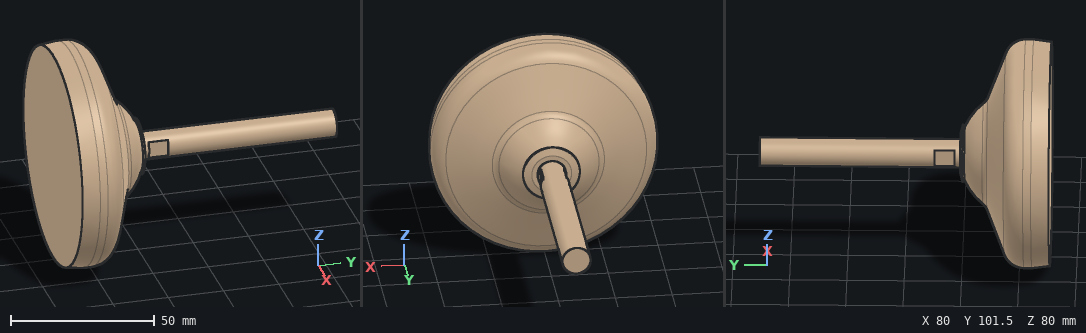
import cadquery as cq
import math


pad_radius = 40.0
pad_sole_radius = 39.2
pad_taper_height = 6.2
pad_band_height = 2.8
pad_shoulder_radius = 7.4
pad_slope = math.radians(21.5)
dome_radius = 22.5
dome_center_height = 9.6
dome_blend_radius = 5.0
foot_height = 30.0

disc_height = 1.5
disc_rim_height = 0.7
disc_rim_radius = 10.0
disc_top_radius = 7.0
stem_radius = 5.0
stem_length = 70.0
flat_across = 8.0
flat_offset = 2.0
flat_length = 7.0

disc_top = foot_height + disc_height
stem_top = disc_top + stem_length

dome_top_radius = math.sqrt(dome_radius**2 - (foot_height - dome_center_height) ** 2)


def point_on_arc(center, radius, angle):
    """Point at the given angle, measured from the radial direction towards +Y."""
    return (center[0] + radius * math.cos(angle), center[1] + radius * math.sin(angle))


def revolve_about_y(outline):
    return outline.close().revolve(360, (0, 0, 0), (0, 1, 0))


def make_foot():
    band_top = pad_taper_height + pad_band_height
    slope_normal = math.pi / 2 - pad_slope

    shoulder_center = (pad_radius - pad_shoulder_radius, band_top)
    shoulder_middle = point_on_arc(shoulder_center, pad_shoulder_radius, slope_normal / 2)
    shoulder_end = point_on_arc(shoulder_center, pad_shoulder_radius, slope_normal)

    dome_depth = (
        shoulder_end[0] * math.sin(pad_slope)
        + (shoulder_end[1] - dome_center_height) * math.cos(pad_slope)
    )
    center_distance = dome_radius + dome_blend_radius
    rise = dome_depth + dome_blend_radius
    run = math.sqrt(center_distance**2 - rise**2)
    blend_angle = math.atan2(rise, run) - pad_slope
    dome_center = (0, dome_center_height)
    blend_center = point_on_arc(dome_center, center_distance, blend_angle)
    to_slope = slope_normal + math.pi
    to_dome = blend_angle + math.pi
    blend_start = point_on_arc(blend_center, dome_blend_radius, to_slope)
    blend_middle = point_on_arc(blend_center, dome_blend_radius, (to_slope + to_dome) / 2)
    blend_end = point_on_arc(blend_center, dome_blend_radius, to_dome)

    dome_top_angle = math.atan2(foot_height - dome_center_height, dome_top_radius)
    dome_middle = point_on_arc(dome_center, dome_radius, (blend_angle + dome_top_angle) / 2)

    outline = (
        cq.Workplane("XY")
        .lineTo(pad_sole_radius, 0)
        .lineTo(pad_radius, pad_taper_height)
        .lineTo(pad_radius, band_top)
        .threePointArc(shoulder_middle, shoulder_end)
        .lineTo(*blend_start)
        .threePointArc(blend_middle, blend_end)
        .threePointArc(dome_middle, (dome_top_radius, foot_height))
        .lineTo(0, foot_height)
    )
    return revolve_about_y(outline)


def make_spindle():
    outline = (
        cq.Workplane("XY")
        .moveTo(0, foot_height)
        .lineTo(dome_top_radius, foot_height)
        .lineTo(disc_rim_radius, foot_height + disc_rim_height)
        .lineTo(disc_top_radius, disc_top)
        .lineTo(stem_radius, disc_top)
        .lineTo(stem_radius, stem_top)
        .lineTo(0, stem_top)
    )
    spindle = revolve_about_y(outline)

    cut_depth = stem_radius
    flat_middle = disc_top + flat_offset + flat_length / 2
    for side in (-1, 1):
        cutter = cq.Workplane("XY").box(cut_depth, flat_length, 2 * stem_radius)
        cutter_center = side * (flat_across + cut_depth) / 2
        spindle = spindle.cut(cutter.translate((cutter_center, flat_middle, 0)))
    return spindle


foot = make_foot()
spindle = make_spindle()

result = cq.Compound.makeCompound([foot.val(), spindle.val()])